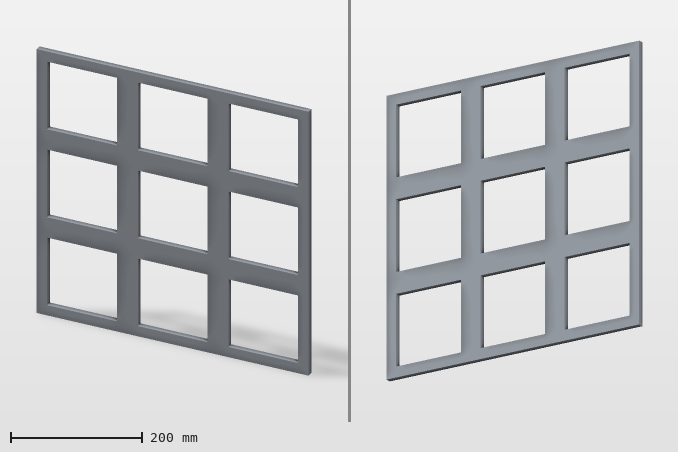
import cadquery as cq

side = 457.0
thickness = 9.5

windows_per_side = 3
window_size = 117.0
window_pitch = side / windows_per_side

plate = cq.Workplane("XY").box(side, thickness, side)

windows = (
    cq.Workplane("XZ")
    .rarray(window_pitch, window_pitch, windows_per_side, windows_per_side)
    .rect(window_size, window_size)
    .extrude(thickness, both=True)
)

result = plate.cut(windows)